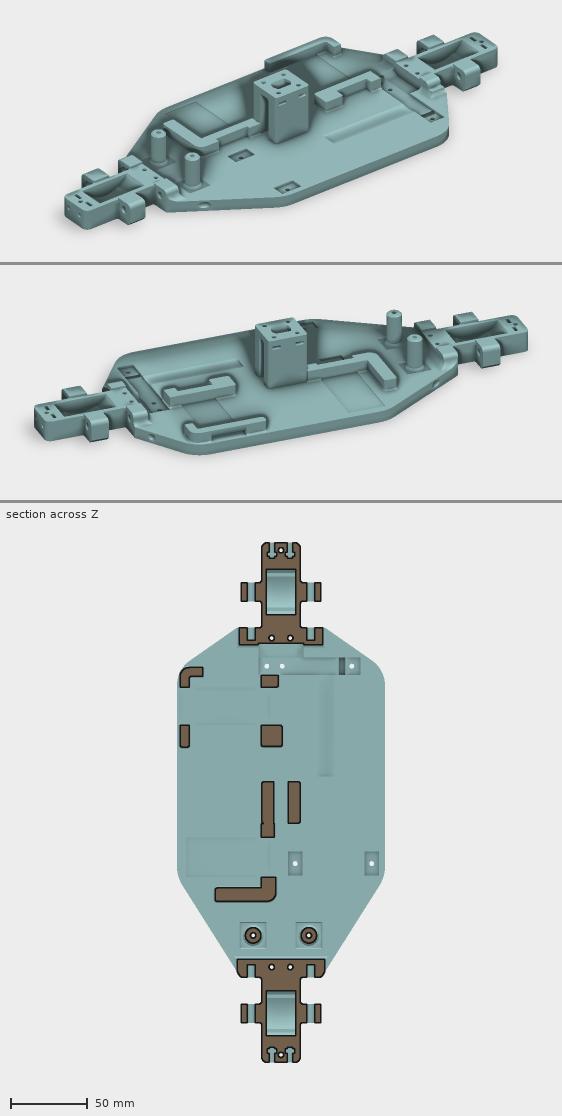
import cadquery as cq
import math

LENGTH = 340.0
WIDTH = 136.0
HEIGHT = 43.45
PLATE_TOP = 8.0
ARM_TOP = 14.5
WALL_TOP = 16.0
SCREW_D = 3.2

TAPER_END_Y = 114.3
SHOULDER_Y_REAR = 86.9
SHOULDER_Y_FRONT = -48.5
END_HALF_REAR = 28.8
END_HALF_FRONT = 26.4
CORNER_R_REAR = 20.0
CORNER_R_FRONT = 23.0
FRONT_TIP_R = 3.0

ARM_W = 25.6
ARM_CORNER_R = 4.0
BLOCK_INNER_Y = 104.0
ARM_SCREW_X = 6.1
ARM_SCREW_Y = 107.5
AXLE_Y = 137.7
BED_W = 19.2
BED_AXIS_Z = 23.0
BED_R = 20.4
TROUGH_R = 19.1
LEDGE_HALF = 12.4
TROUGH_HALF = 10.2

EAR_SPAN = 52.6
EAR_L = 12.4
EAR_ROUND = 3.2
EAR_CHAMFER = 2.6
EAR_FILLET = 1.5
PIN_D = 5.2
PIN_X = 19.5
PIN_Z = 9.9
PIN_BLIND_DEPTH = 8.0
FRONT_SKIRT_RUN_X = 5.8
FRONT_SKIRT_RUN_Y = 3.7
FRONT_SKIRT_H = 5.0
REAR_SKIRT_R = 3.2
SHORT_EAR_X = 22.2

TIP_HOLE_Y = 164.9
TIP_BOLT_X = 5.8
TIP_BOLT_Z = 8.7
TIP_NUT_Y = 162.3
NUT_W = 6.0
NUT_T = 2.4

POST_W = 25.6
POST_L = 27.6
POST_EDGE_R = 2.0
WINDOW_W = 8.9
WINDOW_TOP = 39.0
WINDOW_R = 1.8
BALL_SLOT_D = 13.4
BALL_SLOT_TOP_W = 8.7
BALL_SLOT_LOW_W = 5.2
POST_SCREW_XY = 8.2
POST_NUT_Z = 38.0

PILLAR_D = 10.1
PILLAR_X = 18.2
PILLAR_Y = -86.8
PILLAR_TOP = 29.5
PILLAR_RIM = 1.0
PILLAR_FOOT = 1.8
PILLAR_SQUARE = 17.6
PILLAR_SQUARE_DEPTH = 0.8

WALL_FOOT = 0.9
WALL_CORNER_R = 1.5
WALL_OUTER_R = 6.0
WALL_LEFT_X = -12.9
WALL_THIN_X = -6.7
OUTER_WALL_LEFT_X = -66.0
OUTER_WALL_INNER_X = -59.9
FRONT_STRAP_LEFT_X = -62.1
STRAP_RECESS = 0.4
STRAP_HEIGHT = 0.9
REAR_STRAP_Y = (50.7, 75.3)
FRONT_STRAP_Y = (-48.6, -22.8)

CROSS_HOLE_D = 4.6
CROSS_HOLE_X = 39.8
CROSS_HOLE_Z = 4.5
RECESS_DEPTH = 2.0
STEERING_X0 = -14.7
STEERING_X1 = 52.0
STEERING_Y0 = 83.4
STEERING_Y1 = 94.9
STEERING_GROOVE_X = (37.4, 42.5)
STEERING_SCREW_X = (-9.3, 0.8, 46.3)
TROUGH_SAG = 1.0
SHAFT_HALF = 14.6
SHAFT_DEPTH = 2.6
SHAFT_COVE_RUN = 4.6
CABLE_X0 = 22.1
CABLE_X1 = 34.7
CABLE_FRONT_Y = 17.1
MOUNT_X = (9.3, 59.3)
MOUNT_Y = -39.9
MOUNT_W = 9.6
MOUNT_L = 15.8


def box(x0, x1, y0, y1, z0, z1):
    """Box between the given limits."""
    return cq.Workplane("XY").box(x1 - x0, y1 - y0, z1 - z0, centered=False).translate((x0, y0, z0))


def drill(x, y, z0, z1, diameter):
    """Vertical cylinder used as a hole or a boss."""
    return cq.Workplane("XY", origin=(x, y, z0)).circle(diameter / 2).extrude(z1 - z0)


def drill_along_y(x, z, y0, y1, diameter):
    """Cylinder along Y used as a hole."""
    return cq.Workplane("XZ", origin=(x, y0, z)).circle(diameter / 2).extrude(y0 - y1)


def at_both_ends(body):
    """The body with its mirror image across the XZ plane."""
    return body.union(body.mirror("XZ"))


def plate_blank(height):
    """The plate outline, extruded upward."""
    half = WIDTH / 2
    outline = [
        (-END_HALF_FRONT, -TAPER_END_Y), (END_HALF_FRONT, -TAPER_END_Y),
        (half, SHOULDER_Y_FRONT), (half, SHOULDER_Y_REAR),
        (END_HALF_REAR, TAPER_END_Y), (-END_HALF_REAR, TAPER_END_Y),
        (-half, SHOULDER_Y_REAR), (-half, SHOULDER_Y_FRONT),
    ]
    plate = cq.Workplane("XY").polyline(outline).close().extrude(height)
    for y, radius in (
        (-TAPER_END_Y, FRONT_TIP_R),
        (SHOULDER_Y_FRONT, CORNER_R_FRONT),
        (SHOULDER_Y_REAR, CORNER_R_REAR),
    ):
        near = cq.selectors.BoxSelector((-half - 1, y - 1, 0), (half + 1, y + 1, height))
        plate = plate.edges("|Z").edges(near).fillet(radius)
    return plate


def ear_pair(y0, y1, bottom_chamfer):
    """Two ears, one on each side of the arm, with rounded top edges."""
    ears = box(-EAR_SPAN / 2, EAR_SPAN / 2, y0, y1, 0, WALL_TOP)
    ears = ears.faces(">Z").edges("|Y").fillet(EAR_ROUND)
    if bottom_chamfer:
        ears = ears.faces("<Z").edges("|Y").chamfer(EAR_CHAMFER)
    return ears.cut(box(-ARM_W / 2, ARM_W / 2, y0, y1, ARM_TOP, WALL_TOP))


def ear_corner_fillets():
    """Round inside corners where the ears meet the sides of the arm."""
    fillets = None
    outer_faces = (AXLE_Y - EAR_L / 2, AXLE_Y + EAR_L / 2, TAPER_END_Y)
    for y, outward in zip(outer_faces, (-1, 1, 1)):
        for side in (-1, 1):
            x = side * ARM_W / 2
            xc = x + side * EAR_FILLET
            yc = y + outward * EAR_FILLET
            web = box(min(x, xc), max(x, xc), min(y, yc), max(y, yc), 0, ARM_TOP)
            web = web.cut(drill(xc, yc, 0, ARM_TOP, 2 * EAR_FILLET))
            fillets = web if fillets is None else fillets.union(web)
    return fillets


def gear_bed():
    """Two concentric scoops with a flat ledge between them."""
    ledge_z = BED_AXIS_Z - math.sqrt(BED_R**2 - LEDGE_HALF**2)
    half_width = BED_W / 2
    upper = cq.Workplane("YZ", origin=(-half_width, AXLE_Y, BED_AXIS_Z)).circle(BED_R).extrude(BED_W)
    upper = upper.intersect(box(-half_width, half_width, AXLE_Y - BED_R, AXLE_Y + BED_R, ledge_z, WALL_TOP))
    lower = cq.Workplane("YZ", origin=(-half_width, AXLE_Y, BED_AXIS_Z)).circle(TROUGH_R).extrude(BED_W)
    trough_y0 = AXLE_Y - TROUGH_HALF
    trough_y1 = AXLE_Y + TROUGH_HALF
    lower = lower.intersect(box(-half_width, half_width, trough_y0, trough_y1, 0, WALL_TOP))
    return upper.union(lower)


def arm():
    """Rear arm with its ears, gear bed and tip holes."""
    tip_y = LENGTH / 2
    body = box(-ARM_W / 2, ARM_W / 2, BLOCK_INNER_Y, tip_y, 0, ARM_TOP)
    body = body.faces(">Y").edges("|Z").fillet(ARM_CORNER_R)
    body = body.union(ear_pair(AXLE_Y - EAR_L / 2, AXLE_Y + EAR_L / 2, True))
    body = body.union(ear_pair(BLOCK_INNER_Y, TAPER_END_Y, False))
    body = body.union(ear_corner_fillets()).cut(gear_bed())
    body = body.cut(drill(0, TIP_HOLE_Y, 0, ARM_TOP, SCREW_D))
    for side in (-1, 1):
        bolt_x = side * TIP_BOLT_X
        body = body.cut(drill_along_y(bolt_x, TIP_BOLT_Z, TIP_NUT_Y - NUT_T, tip_y, SCREW_D))
        body = body.cut(box(bolt_x - NUT_W / 2, bolt_x + NUT_W / 2, TIP_NUT_Y - NUT_T / 2,
                            TIP_NUT_Y + NUT_T / 2, TIP_BOLT_Z - NUT_W / 2, ARM_TOP))
    return body


def hinge_pins():
    """Pin holes through the outer ears, ending blind in the inner ears."""
    inner_end = TAPER_END_Y - PIN_BLIND_DEPTH
    left = drill_along_y(-PIN_X, PIN_Z, inner_end, LENGTH / 2, PIN_D)
    right = drill_along_y(PIN_X, PIN_Z, inner_end, LENGTH / 2, PIN_D)
    return at_both_ends(left.union(right))


def front_ear_trim():
    """Material of the front inner ears outside the rounded plate outline."""
    half = EAR_SPAN / 2
    ears = box(-half, half, -TAPER_END_Y, -BLOCK_INNER_Y, 0, WALL_TOP)
    return ears.cut(plate_blank(WALL_TOP))


def arm_screws():
    """Two vertical screw holes at the inner end of each arm."""
    holes = cq.Workplane("XY").rect(2 * ARM_SCREW_X, 2 * ARM_SCREW_Y, forConstruction=True)
    return holes.vertices().circle(SCREW_D / 2).extrude(ARM_TOP)


def skirt(run_x, run_y, height):
    """Concave skirt around the rear pair of inner ears."""
    top = PLATE_TOP + height
    bulge = 1 - math.sqrt(0.5)
    half = EAR_SPAN / 2
    mid_x = half + run_x * bulge
    mid_y = BLOCK_INNER_Y - run_y * bulge
    mid_z = PLATE_TOP + height * bulge
    along_y = (
        cq.Workplane("XZ", origin=(0, LENGTH / 2, 0))
        .moveTo(-half - run_x, PLATE_TOP)
        .threePointArc((-mid_x, mid_z), (-half, top))
        .lineTo(half, top)
        .threePointArc((mid_x, mid_z), (half + run_x, PLATE_TOP))
        .close()
        .extrude(LENGTH / 2)
    )
    along_x = (
        cq.Workplane("YZ", origin=(-WIDTH / 2, 0, 0))
        .moveTo(BLOCK_INNER_Y - run_y, PLATE_TOP)
        .threePointArc((mid_y, mid_z), (BLOCK_INNER_Y, top))
        .lineTo(TAPER_END_Y, top)
        .lineTo(TAPER_END_Y, PLATE_TOP)
        .close()
        .extrude(WIDTH)
    )
    return along_y.intersect(along_x)


def front_skirt():
    """Skirt of the front inner ears, trimmed by the plate outline."""
    body = skirt(FRONT_SKIRT_RUN_X, FRONT_SKIRT_RUN_Y, FRONT_SKIRT_H).mirror("XZ")
    return body.intersect(plate_blank(ARM_TOP))


def rear_skirt():
    """Skirt of the rear inner ears, trimmed by the plate outline."""
    body = skirt(REAR_SKIRT_R, REAR_SKIRT_R, REAR_SKIRT_R)
    return body.intersect(plate_blank(ARM_TOP))


def short_ear_step():
    """Material taken off the rear ear on the +X side, which is stepped and rounded."""
    step_z = PLATE_TOP + REAR_SKIRT_R
    step = box(SHORT_EAR_X, EAR_SPAN / 2, BLOCK_INNER_Y, TAPER_END_Y, step_z, WALL_TOP)
    round_x = SHORT_EAR_X - EAR_ROUND
    round_z = WALL_TOP - EAR_ROUND
    corner = box(round_x, SHORT_EAR_X, BLOCK_INNER_Y, TAPER_END_Y, round_z, WALL_TOP)
    corner = corner.cut(drill_along_y(round_x, round_z, BLOCK_INNER_Y, TAPER_END_Y, 2 * EAR_ROUND))
    return step.union(corner)


def post():
    """Hollow post with a window along Y, a tapered top slot and four screw and nut pockets."""
    body = cq.Workplane("XY").rect(POST_W, POST_L).extrude(HEIGHT).edges("|Z").fillet(POST_EDGE_R)
    window = box(-WINDOW_W / 2, WINDOW_W / 2, -POST_L, POST_L, PLATE_TOP, WINDOW_TOP)
    window = window.faces(">Z").edges("|Y").fillet(WINDOW_R)
    half_top = BALL_SLOT_TOP_W / 2
    half_low = BALL_SLOT_LOW_W / 2
    ball_slot = cq.Workplane("XZ", origin=(0, BALL_SLOT_D / 2, 0)).polyline(
        [(-half_low, WINDOW_TOP), (half_low, WINDOW_TOP), (half_top, HEIGHT), (-half_top, HEIGHT)]
    ).close().extrude(BALL_SLOT_D)
    ball_slot = ball_slot.intersect(drill(0, 0, WINDOW_TOP, HEIGHT, BALL_SLOT_D))
    body = body.cut(window).cut(ball_slot)
    nut_inner = POST_SCREW_XY - NUT_W / 2
    for side_y in (-1, 1):
        y = side_y * POST_SCREW_XY
        for side_x in (-1, 1):
            x = side_x * POST_SCREW_XY
            ends = sorted((side_x * nut_inner, side_x * POST_W / 2))
            body = body.cut(drill(x, y, POST_NUT_Z - NUT_W, HEIGHT, SCREW_D))
            body = body.cut(box(ends[0], ends[1], y - NUT_W / 2, y + NUT_W / 2,
                                POST_NUT_Z - NUT_T / 2, POST_NUT_Z + NUT_T / 2))
    return body


def pillar(x):
    """Round pillar with a chamfered rim and a sloped foot."""
    floor = PLATE_TOP - PILLAR_SQUARE_DEPTH
    r = PILLAR_D / 2
    profile = [(0, floor), (r + PILLAR_FOOT, floor), (r, floor + PILLAR_FOOT),
               (r, PILLAR_TOP - PILLAR_RIM), (r - PILLAR_RIM, PILLAR_TOP), (0, PILLAR_TOP)]
    body = cq.Workplane("XZ").polyline(profile).close().revolve(360, (0, 0, 0), (0, 1, 0))
    return body.translate((x, PILLAR_Y, 0))


def pillar_square(x):
    """Shallow square recess with sloped sides around a pillar."""
    square = cq.Workplane("XY", origin=(x, PILLAR_Y, PLATE_TOP)).rect(PILLAR_SQUARE, PILLAR_SQUARE)
    return square.extrude(-PILLAR_SQUARE_DEPTH, taper=45)


def wall(blocks, rounds):
    """Wall made of joined rectangles (x0, x1, y0, y1); rounds lists (x, y, radius) of its corners."""
    body = None
    for x0, x1, y0, y1 in blocks:
        part = box(x0, x1, y0, y1, PLATE_TOP, WALL_TOP)
        body = part if body is None else body.union(part)
    body = body.clean()
    for x, y, radius in rounds:
        near = cq.selectors.BoxSelector((x - 0.1, y - 0.1, 0), (x + 0.1, y + 0.1, HEIGHT))
        body = body.edges("|Z").edges(near).fillet(radius)
    return body


def footed(body, strap_y):
    """Adds a sloped foot around a wall, left out where the strap passes."""
    base = body.faces("<Z").wires().val()
    outline = cq.Workplane("XY", origin=(0, 0, PLATE_TOP)).add(base).toPending().offset2D(WALL_FOOT)
    foot = outline.extrude(WALL_FOOT, taper=45)
    gap = box(-WIDTH / 2, WIDTH / 2, strap_y[0], strap_y[1], PLATE_TOP, WALL_TOP)
    return body.union(foot.cut(gap))


def rear_inner_wall():
    """Rear wall nearest the centre line, thinner where the strap passes."""
    left, thin = WALL_LEFT_X, WALL_THIN_X
    upper, lower = -1.7, 0.8
    top_y, low_y = 83.3, 36.6
    blocks = [
        (left, thin, low_y, top_y),
        (left, upper, REAR_STRAP_Y[1], top_y),
        (left, lower, low_y, REAR_STRAP_Y[0]),
    ]
    corners = [(left, low_y), (lower, low_y), (lower, REAR_STRAP_Y[0]), (upper, REAR_STRAP_Y[1])]
    rounds = [(x, y, WALL_CORNER_R) for x, y in corners]
    return footed(wall(blocks, rounds), REAR_STRAP_Y)


def rear_outer_wall():
    """L-shaped wall at the plate edge with a strap opening."""
    left, inner, tip = OUTER_WALL_LEFT_X, OUTER_WALL_INNER_X, -51.2
    top_y, arm_y, low_y = 88.4, 82.6, 36.2
    blocks = [(left, inner, low_y, top_y), (left, tip, arm_y, top_y)]
    corners = [(left, low_y), (inner, low_y), (inner, arm_y)]
    rounds = [(x, y, WALL_CORNER_R) for x, y in corners] + [(left, top_y, WALL_OUTER_R)]
    body = footed(wall(blocks, rounds), REAR_STRAP_Y)
    round_r = inner - left
    opening_top = PLATE_TOP + STRAP_HEIGHT + round_r
    opening = box(left, inner, REAR_STRAP_Y[0], REAR_STRAP_Y[1], PLATE_TOP, opening_top)
    ceiling = drill_along_y(inner, opening_top, REAR_STRAP_Y[0], REAR_STRAP_Y[1], 2 * round_r)
    return body.cut(opening.cut(ceiling))


def front_wall():
    """L-shaped wall running forward from the post."""
    left, thin = WALL_LEFT_X, WALL_THIN_X
    upper, lower = -4.3, -3.2
    tip, arm_y, low_y = -43.1, -55.7, -64.6
    blocks = [
        (left, thin, low_y, -POST_L / 2),
        (left, upper, FRONT_STRAP_Y[1], -POST_L / 2),
        (left, lower, low_y, FRONT_STRAP_Y[0]),
        (tip, lower, low_y, arm_y),
    ]
    rounds = [(lower, low_y, WALL_OUTER_R), (tip, low_y, WALL_CORNER_R), (tip, arm_y, WALL_CORNER_R)]
    return footed(wall(blocks, rounds), FRONT_STRAP_Y)


def strap_slot(x0, strap_y):
    """Shallow strap recess in the plate that also passes under the wall nearest the centre line."""
    return box(x0, WALL_THIN_X, strap_y[0], strap_y[1], PLATE_TOP - STRAP_RECESS, PLATE_TOP + STRAP_HEIGHT)


def trough(x0, x1, y0, y1, top, sag):
    """Shallow cylindrical trough along Y with chord x0..x1 at height top."""
    half = (x1 - x0) / 2
    radius = (half**2 + sag**2) / (2 * sag)
    xc = (x0 + x1) / 2
    return drill_along_y(xc, top + radius - sag, y0, y1, 2 * radius).intersect(box(x0, x1, y0, y1, 0, top))


def steering_recess():
    """Cross slot behind the rear arm with three screw holes and a groove in its floor."""
    floor = PLATE_TOP - RECESS_DEPTH
    cut = box(STEERING_X0, STEERING_X1, STEERING_Y0, STEERING_Y1, floor, PLATE_TOP)
    groove_x0, groove_x1 = STEERING_GROOVE_X
    cut = cut.union(trough(groove_x0, groove_x1, STEERING_Y0, STEERING_Y1, floor, TROUGH_SAG))
    for x in STEERING_SCREW_X:
        cut = cut.union(drill(x, (STEERING_Y0 + STEERING_Y1) / 2, 0, PLATE_TOP, SCREW_D))
    return cut


def shaft_recess():
    """Recess between the rear arm and the steering slot, with coved sides tangent to its floor."""
    floor = PLATE_TOP - SHAFT_DEPTH
    flat_half = SHAFT_HALF - SHAFT_COVE_RUN
    half_angle = math.atan(SHAFT_DEPTH / SHAFT_COVE_RUN)
    cove_r = SHAFT_COVE_RUN / math.sin(2 * half_angle)
    mid_x = flat_half + cove_r * math.sin(half_angle)
    mid_z = floor + cove_r * (1 - math.cos(half_angle))
    return (
        cq.Workplane("XZ", origin=(0, BLOCK_INNER_Y, 0))
        .moveTo(-SHAFT_HALF, PLATE_TOP)
        .threePointArc((-mid_x, mid_z), (-flat_half, floor))
        .lineTo(flat_half, floor)
        .threePointArc((mid_x, mid_z), (SHAFT_HALF, PLATE_TOP))
        .lineTo(SHAFT_HALF, ARM_TOP)
        .lineTo(-SHAFT_HALF, ARM_TOP)
        .close()
        .extrude(BLOCK_INNER_Y - STEERING_Y1)
    )


def cable_trough():
    """Shallow trough running forward from the steering slot."""
    return trough(CABLE_X0, CABLE_X1, CABLE_FRONT_Y, STEERING_Y0, PLATE_TOP, TROUGH_SAG)


def mount_recess(x):
    """Rectangular recess with a screw hole."""
    cut = box(x - MOUNT_W / 2, x + MOUNT_W / 2, MOUNT_Y - MOUNT_L / 2, MOUNT_Y + MOUNT_L / 2,
              PLATE_TOP - RECESS_DEPTH, PLATE_TOP)
    return cut.union(drill(x, MOUNT_Y, 0, PLATE_TOP, SCREW_D))


def build():
    """The whole chassis as one solid."""
    part = plate_blank(PLATE_TOP).union(front_skirt()).union(rear_skirt())
    part = part.cut(shaft_recess())
    part = part.union(at_both_ends(arm())).cut(arm_screws())
    part = part.cut(hinge_pins()).cut(front_ear_trim()).cut(short_ear_step())
    part = part.union(post())
    part = part.union(rear_inner_wall()).union(rear_outer_wall()).union(front_wall())
    part = part.cut(strap_slot(FRONT_STRAP_LEFT_X, FRONT_STRAP_Y))
    part = part.cut(strap_slot(OUTER_WALL_LEFT_X, REAR_STRAP_Y))
    part = part.cut(steering_recess()).cut(cable_trough())
    for x in MOUNT_X:
        part = part.cut(mount_recess(x))
    for side in (-1, 1):
        x = side * PILLAR_X
        part = part.cut(pillar_square(x)).union(pillar(x))
        part = part.cut(drill(x, PILLAR_Y, 0, PILLAR_TOP, SCREW_D))
        cross_x = side * CROSS_HOLE_X
        part = part.cut(drill_along_y(cross_x, CROSS_HOLE_Z, -LENGTH / 2, LENGTH / 2, CROSS_HOLE_D))
    return part


result = build()